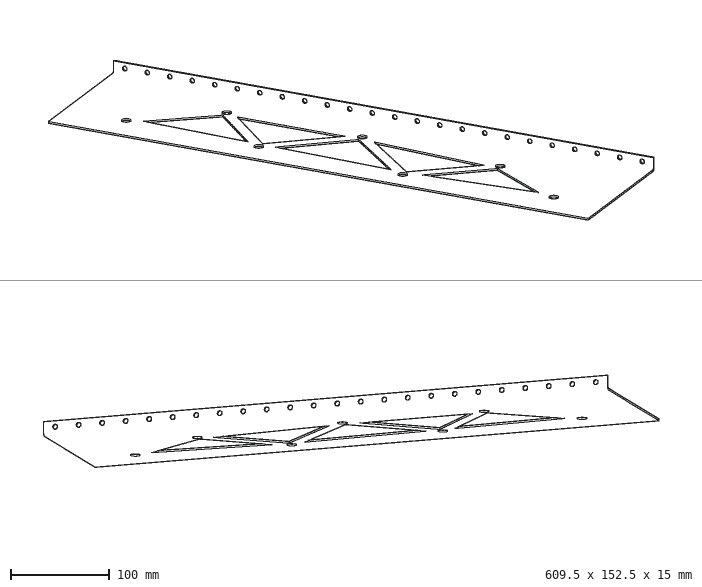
import cadquery as cq

length = 609.5
width = 152.5
flange_rise = 13.0
thickness = 2.0
height = thickness + flange_rise
inner_bend_radius = thickness
outer_bend_radius = inner_bend_radius + thickness

flange_hole_count = 24
flange_hole_diameter = 5.0
flange_hole_height = 8.5
flange_hole_pitch = length / flange_hole_count

node_hole_diameter = 10.0
window_inset = 6.0
truss_nodes = [
    (-235.5, -38.5),
    (-153.0, 25.5),
    (-83.0, -44.0),
    (0.0, 25.5),
    (82.0, -49.5),
    (161.0, 14.5),
    (247.5, -38.5),
]


def bent_sheet():
    """L-shaped section with a rounded bend, centred in X and Y, resting on Z = 0."""
    back = width / 2
    front = -width / 2
    section = (
        cq.Workplane("YZ", origin=(-length / 2, 0, 0))
        .moveTo(front, 0)
        .lineTo(back - outer_bend_radius, 0)
        .radiusArc((back, outer_bend_radius), -outer_bend_radius)
        .lineTo(back, height)
        .lineTo(back - thickness, height)
        .lineTo(back - thickness, outer_bend_radius)
        .radiusArc((back - outer_bend_radius, thickness), inner_bend_radius)
        .lineTo(front, thickness)
        .close()
    )
    return section.extrude(length)


def flange_holes():
    """Evenly spaced cylinders crossing the flange along Y."""
    return (
        cq.Workplane("XZ", origin=(0, width / 2 + thickness, flange_hole_height))
        .rarray(flange_hole_pitch, 6, flange_hole_count, 1)
        .circle(flange_hole_diameter / 2)
        .extrude(3 * thickness)
    )


def node_holes():
    """Cylinders crossing the base at every truss node."""
    return cq.Workplane("XY").pushPoints(truss_nodes).circle(node_hole_diameter / 2).extrude(thickness)


def truss_window(corners):
    """Triangular prism whose sides lie inside the lines joining three nodes."""
    return cq.Workplane("XY").polyline(corners).close().offset2D(-window_inset).extrude(thickness)


result = bent_sheet().cut(flange_holes()).cut(node_holes())
for first in range(len(truss_nodes) - 2):
    result = result.cut(truss_window(truss_nodes[first:first + 3]))